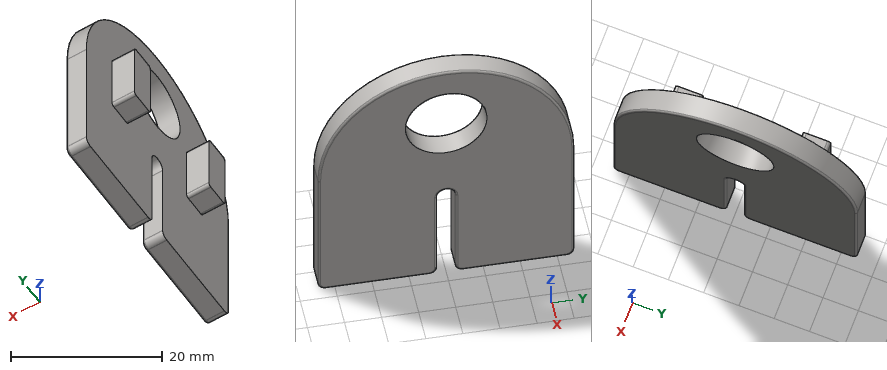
import cadquery as cq

plate_width = 34.5
plate_height = 37.5
plate_thickness = 3.2
arch_radius = plate_width / 2
corner_radius = 1.0
back_edge_radius = 0.3

hole_diameter = 11.0
hole_height = 28.0

slot_width = 2.5
slot_height = 15.5
slot_radius = slot_width / 2

peg_length = 3.52
peg_width = 3.95
peg_height = 10.0
peg_spacing = 18.08
peg_bottom = 15.05
peg_corner_radius = 0.5


def make_plate():
    """Arched plate with an open slot, rounded corners and a rounded back rim."""
    half_width = plate_width / 2
    arch_center = plate_height - arch_radius
    plate = (
        cq.Workplane("YZ")
        .moveTo(-half_width, 0)
        .lineTo(-half_width, arch_center)
        .threePointArc((0, plate_height), (half_width, arch_center))
        .lineTo(half_width, 0)
        .lineTo(slot_radius, 0)
        .lineTo(slot_radius, slot_height - slot_radius)
        .threePointArc((0, slot_height), (-slot_radius, slot_height - slot_radius))
        .lineTo(-slot_radius, 0)
        .close()
        .extrude(plate_thickness)
    )
    plate = plate.faces("<Z").edges("|X").fillet(corner_radius)
    return plate.faces(">X").edges().fillet(back_edge_radius)


def make_hole():
    """Cylinder that cuts the round hole through the plate."""
    return (
        cq.Workplane("YZ")
        .center(0, hole_height)
        .circle(hole_diameter / 2)
        .extrude(plate_thickness)
    )


def make_pegs():
    """Pair of rectangular pegs with rounded long edges."""
    peg_center_height = peg_bottom + peg_height / 2
    return (
        cq.Workplane("YZ")
        .pushPoints([(side * peg_spacing / 2, peg_center_height) for side in (-1, 1)])
        .rect(peg_width, peg_height)
        .extrude(-peg_length)
        .edges("|X")
        .fillet(peg_corner_radius)
    )


result = make_plate().cut(make_hole()).union(make_pegs())